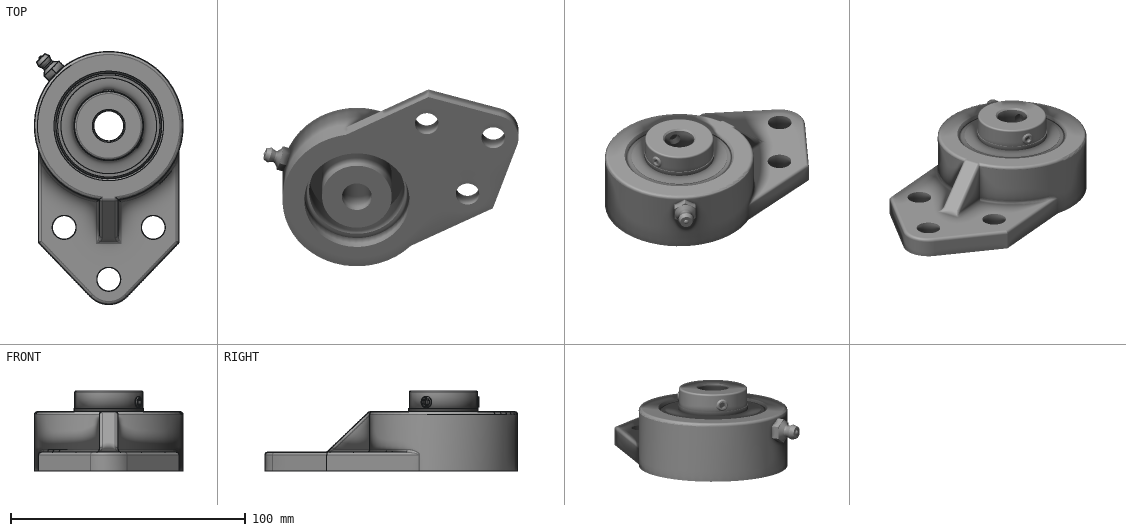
import cadquery as cq
import math


OVERALL_LENGTH = 108.0
HUB_RADIUS = 31.8
HUB_HEIGHT = 25.4
PLATE_THICKNESS = 8.1
PLATE_HALF_WIDTH = 30.0
PLATE_CORNER_Y = -49.8
TIP_RADIUS = 10.8
TIP_Y = HUB_RADIUS + TIP_RADIUS - OVERALL_LENGTH
RIB_WIDTH = 8.1
RIB_ROOT_Y = -27.0
RIB_PAD_MARGIN = 3.2
RIB_TOE_Y = PLATE_CORNER_Y
EDGE_RADIUS = 1.3
ROOT_RADIUS = 1.2

FIT = 0.01

BOLT_DIAMETER = 10.0
BOLT_SIDE_X = 19.0
BOLT_SIDE_Y = -43.3

RING_WIDTH = 16.0
RING_TOP = 24.3
RING_MIDDLE = RING_TOP - RING_WIDTH / 2
RING_BOTTOM = RING_TOP - RING_WIDTH
RING_FACE_RADIUS = 22.5
RING_CHAMFER = 0.6
MOUTH_RADIUS = 46.8 / 2
SPHERE_RADIUS = math.hypot(RING_FACE_RADIUS, RING_WIDTH / 2)
SEAL_RADIUS = 40.8 / 2

SEAL_EDGE_HEIGHT = 0.2
SEAL_INNER_HEIGHT = 0.5
SEAL_DEPTH = 0.8

BORE_RADIUS = 12.7 / 2
BORE_CHAMFER = 0.6
COLLAR_RADIUS = 29.2 / 2
COLLAR_EDGE_RADIUS = 0.8
SHOULDER_RADIUS = 29.7 / 2
SHOULDER_TOP = 26.7
INNER_RING_TOP = 34.2
INNER_RING_BOTTOM = 3.2

SCREW_ANGLES = (-30, 90)
SCREW_DIAMETER = 5.0
SCREW_Z = 29.5
SCREW_OUTER_END = 15.2
SCREW_LENGTH = 5.4
SCREW_CHAMFER = 0.5
SOCKET_FLATS = 2.5
SOCKET_DEPTH = 2.2

NIPPLE_ANGLE = 135
NIPPLE_Z = 18.9
HEX_FLATS = 9.0
HEX_BASE = math.sqrt(HUB_RADIUS**2 - (HEX_FLATS / 2) ** 2)
HEX_END = 34.6
NECK_RADIUS = 5.0 / 2
NECK_WAIST = 36.9
NECK_HALF_LENGTH = 0.8
NECK_END_RADIUS = 2.7
CONE_RADIUS = 4.4
HEAD_RADIUS = 3.2
HEAD_WIDEST = 39.1
TIP_FACE_RADIUS = 2.6
NIPPLE_END = 41.0
BALL_DIAMETER = 2.4
BALL_SINK = 0.5


def turned(profile):
    """Revolve a profile of (radius, height) drawn in the XZ plane about Z."""
    return profile.close().revolve(360, (0, 0, 0), (0, 1, 0))


def radial_plane(angle, distance, z):
    """Plane facing outward from the bearing axis, with its local Y along +Z."""
    turn = math.radians(angle)
    outward = (math.cos(turn), math.sin(turn), 0)
    origin = (distance * outward[0], distance * outward[1], z)
    return cq.Plane(origin=origin, xDir=(-outward[1], outward[0], 0), normal=outward)


def hexagon(workplane, flats, length):
    """Hexagonal prism with two of its corners on the local Y axis."""
    corners = flats / math.cos(math.pi / 6)
    return workplane.transformed(rotate=(0, 0, 90)).polygon(6, corners).extrude(length)


def plate_top_edges(body, keep):
    """Edges in the top plane of the plate whose centre satisfies `keep`."""
    top = cq.selectors.BoxSelector(
        (-HUB_RADIUS, TIP_Y - TIP_RADIUS, PLATE_THICKNESS - FIT),
        (HUB_RADIUS, HUB_RADIUS, PLATE_THICKNESS + FIT),
        boundingbox=True,
    )
    return body.edges(top).filter(lambda edge: keep(edge.Center()))


def make_plate():
    """Flange plate that narrows along two tangents to its round tip."""
    reach_x = PLATE_HALF_WIDTH
    reach_y = PLATE_CORNER_Y - TIP_Y
    tangent = math.atan2(reach_y, reach_x) - math.acos(TIP_RADIUS / math.hypot(reach_x, reach_y))
    tangent_x = TIP_RADIUS * math.cos(tangent)
    tangent_y = TIP_Y + TIP_RADIUS * math.sin(tangent)
    return (
        cq.Workplane("XY")
        .moveTo(-PLATE_HALF_WIDTH, 0)
        .lineTo(-PLATE_HALF_WIDTH, PLATE_CORNER_Y)
        .lineTo(-tangent_x, tangent_y)
        .threePointArc((0, TIP_Y - TIP_RADIUS), (tangent_x, tangent_y))
        .lineTo(PLATE_HALF_WIDTH, PLATE_CORNER_Y)
        .lineTo(PLATE_HALF_WIDTH, 0)
        .close()
        .extrude(PLATE_THICKNESS)
    )


def make_hub_and_plate():
    """Round hub standing on the plate, with rounded rim, plate edge and root."""
    hub = cq.Workplane("XY").circle(HUB_RADIUS).extrude(HUB_HEIGHT)
    hub = hub.faces(">Z").edges().fillet(EDGE_RADIUS)
    body = hub.union(make_plate())

    def on_outline(point):
        return abs(point.x) > PLATE_HALF_WIDTH - FIT or point.y < PLATE_CORNER_Y

    def on_hub(point):
        return abs(point.x) < FIT and point.y > PLATE_CORNER_Y

    body = plate_top_edges(body, on_outline).fillet(EDGE_RADIUS)
    return plate_top_edges(body, on_hub).fillet(ROOT_RADIUS)


def make_rib():
    """Sloping rib with a rounded crest, standing on a pad that lies inside the plate."""
    pad_toe_y = RIB_TOE_Y - RIB_PAD_MARGIN
    pad = (
        cq.Workplane("XY")
        .center(0, (RIB_ROOT_Y + pad_toe_y) / 2)
        .rect(RIB_WIDTH + 2 * RIB_PAD_MARGIN, RIB_ROOT_Y - pad_toe_y)
        .extrude(PLATE_THICKNESS)
    )
    rib = (
        cq.Workplane("YZ")
        .moveTo(RIB_ROOT_Y, 0)
        .lineTo(RIB_TOE_Y, 0)
        .lineTo(RIB_TOE_Y, PLATE_THICKNESS)
        .lineTo(-HUB_RADIUS, HUB_HEIGHT)
        .lineTo(RIB_ROOT_Y, HUB_HEIGHT)
        .close()
        .extrude(RIB_WIDTH / 2, both=True)
    )

    def on_foot(point):
        return abs(point.x) < RIB_WIDTH / 2 + FIT and RIB_TOE_Y - FIT < point.y < RIB_ROOT_Y - FIT

    rib = plate_top_edges(pad.union(rib), on_foot).fillet(ROOT_RADIUS)
    slope = cq.Vector(0, RIB_TOE_Y + HUB_RADIUS, PLATE_THICKNESS - HUB_HEIGHT)
    crest = rib.faces(">Z").edges("<Y or |Y")
    crest = crest.add(rib.edges(cq.selectors.ParallelDirSelector(slope)))
    return crest.fillet(EDGE_RADIUS)


def make_bearing_seat():
    """Spherical seat with a flared mouth above it and an open bore below it."""
    return turned(
        cq.Workplane("XZ")
        .moveTo(0, 0)
        .lineTo(RING_FACE_RADIUS, 0)
        .lineTo(RING_FACE_RADIUS, RING_BOTTOM)
        .threePointArc((SPHERE_RADIUS, RING_MIDDLE), (RING_FACE_RADIUS, RING_TOP))
        .lineTo(MOUTH_RADIUS, HUB_HEIGHT)
        .lineTo(0, HUB_HEIGHT)
    )


def make_bolt_holes():
    centres = [(-BOLT_SIDE_X, BOLT_SIDE_Y), (BOLT_SIDE_X, BOLT_SIDE_Y), (0, TIP_Y)]
    return cq.Workplane("XY").pushPoints(centres).circle(BOLT_DIAMETER / 2).extrude(PLATE_THICKNESS)


def make_housing(nipple):
    """Filleted casting, bored for the bearing and seated for the grease nipple."""
    body = make_hub_and_plate().union(make_rib())
    return body.cut(make_bearing_seat()).cut(make_bolt_holes()).cut(nipple)


def make_outer_ring():
    """Ring with a spherical outside and a plain bore."""
    ring = turned(
        cq.Workplane("XZ")
        .moveTo(SEAL_RADIUS, RING_BOTTOM)
        .lineTo(RING_FACE_RADIUS, RING_BOTTOM)
        .threePointArc((SPHERE_RADIUS, RING_MIDDLE), (RING_FACE_RADIUS, RING_TOP))
        .lineTo(SEAL_RADIUS, RING_TOP)
    )
    return ring.faces(">Z").edges(cq.selectors.RadiusNthSelector(-1)).chamfer(RING_CHAMFER)


def make_seal():
    """Shield that closes the gap between the rings and rises toward the shaft."""
    return turned(
        cq.Workplane("XZ")
        .moveTo(SHOULDER_RADIUS, RING_TOP - SEAL_DEPTH)
        .lineTo(SEAL_RADIUS, RING_TOP - SEAL_DEPTH)
        .lineTo(SEAL_RADIUS, RING_TOP + SEAL_EDGE_HEIGHT)
        .lineTo(SHOULDER_RADIUS, RING_TOP + SEAL_INNER_HEIGHT)
    )


def make_set_screw(angle):
    """Set screw with a hexagon socket in its chamfered outer end."""
    outer_end = cq.Workplane(radial_plane(angle, SCREW_OUTER_END, SCREW_Z))
    body = outer_end.circle(SCREW_DIAMETER / 2).extrude(-SCREW_LENGTH)
    end_face = cq.selectors.NearestToPointSelector(outer_end.plane.origin)
    body = body.faces(end_face).edges().chamfer(SCREW_CHAMFER)
    return body.cut(hexagon(outer_end, SOCKET_FLATS, -SOCKET_DEPTH))


def make_screw_hole(angle):
    hole = cq.Workplane(radial_plane(angle, 0, SCREW_Z))
    return hole.circle(SCREW_DIAMETER / 2).extrude(SCREW_OUTER_END)


def make_inner_ring():
    """Bored ring with a shoulder, a round-edged collar and a radial hole for each set screw."""
    ring = cq.Workplane("XY").workplane(offset=INNER_RING_BOTTOM).circle(SHOULDER_RADIUS)
    ring = ring.extrude(SHOULDER_TOP - INNER_RING_BOTTOM)
    collar = cq.Workplane("XY").workplane(offset=SHOULDER_TOP).circle(COLLAR_RADIUS)
    collar = collar.extrude(INNER_RING_TOP - SHOULDER_TOP).faces(">Z").edges().fillet(COLLAR_EDGE_RADIUS)
    bore = cq.Workplane("XY").circle(BORE_RADIUS).extrude(INNER_RING_TOP)
    ring = ring.union(collar).cut(bore)
    ring = ring.faces(">Z").edges(cq.selectors.RadiusNthSelector(0)).chamfer(BORE_CHAMFER)
    for angle in SCREW_ANGLES:
        ring = ring.cut(make_screw_hole(angle))
    return ring


def make_ball():
    """Valve ball sunk past its middle in the outer end of the nipple."""
    plane = radial_plane(NIPPLE_ANGLE, NIPPLE_END - BALL_SINK, NIPPLE_Z)
    return cq.Workplane(plane).sphere(BALL_DIAMETER / 2)


def make_nipple():
    """Grease nipple: hexagon base, cone, neck and head, with a cup for the ball."""
    base = cq.Workplane(radial_plane(NIPPLE_ANGLE, HEX_BASE, NIPPLE_Z))
    foot = hexagon(base, HEX_FLATS, HEX_END - HEX_BASE)
    turned_end = turned(
        cq.Workplane("XZ")
        .moveTo(0, HEX_BASE)
        .lineTo(CONE_RADIUS, HEX_BASE)
        .lineTo(CONE_RADIUS, HEX_END)
        .lineTo(NECK_END_RADIUS, NECK_WAIST - NECK_HALF_LENGTH)
        .lineTo(NECK_RADIUS, NECK_WAIST)
        .lineTo(NECK_END_RADIUS, NECK_WAIST + NECK_HALF_LENGTH)
        .lineTo(HEAD_RADIUS, HEAD_WIDEST)
        .lineTo(TIP_FACE_RADIUS, NIPPLE_END)
        .lineTo(0, NIPPLE_END)
    )
    axis = radial_plane(NIPPLE_ANGLE, 0, NIPPLE_Z)
    turned_end = turned_end.val().moved(cq.Location(axis))
    return foot.union(cq.Workplane(turned_end)).cut(make_ball())


nipple = make_nipple()
housing = make_housing(nipple)
outer_ring = make_outer_ring()
inner_ring = make_inner_ring()
seal = make_seal()
ball = make_ball()
screws = [make_set_screw(angle).val() for angle in SCREW_ANGLES]

result = cq.Compound.makeCompound(
    [housing.val(), outer_ring.val(), inner_ring.val(), seal.val(), nipple.val(), ball.val(), *screws]
)